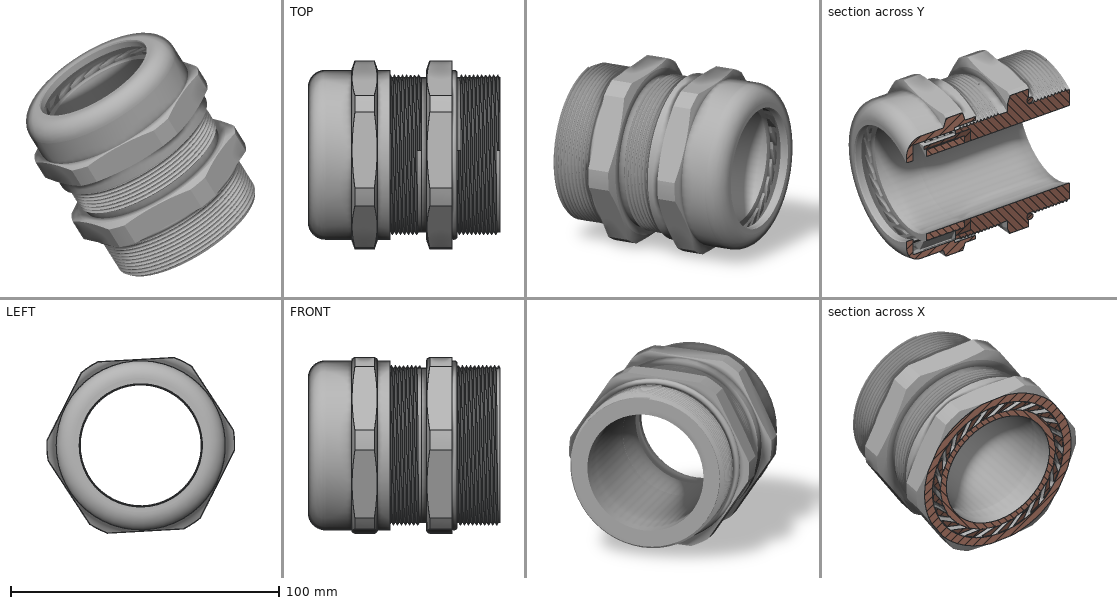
import cadquery as cq
import math

length = 71.55

hex_flats = 64.0
hex_corner_dia = 70.05
corner_turn = 3.2
hex_chamfer = 1.2

nut_length = 30.5
nut_dia = 63.0
nut_round = 6.5
nut_hex_start = 16.2
nut_hex_end = 25.8
opening_dia = 45.9
lip_dia = 45.5
lip_bevel = 0.6
lip_thickness = 3.0
cavity_dia = 57.45
cavity_end = 21.1
thread_clearance = 0.3

root_dia = 57.6
crest_dia = 59.4
pitch = 1.5
flank_angle = 30.0
root_overlap = 0.1
front_thread_end = 41.5
front_turns = 12
rear_thread_start = 55.95
rear_turns = 10

body_start = 21.45
neck_start = 42.15
neck_dia = 57.5
body_hex_start = 44.1
body_hex_end = 53.65
body_bore_dia = 45.15

gasket_outer_dia = nut_dia
gasket_inner_dia = 57.9
gasket_end = 55.5

seal_start = 8.65
seal_end = 25.25
seal_bore_dia = 45.1
seal_dia = 50.4
cage_start = 7.6
cage_end = 27.9
cage_head_dia = 57.15
cage_dia = 54.1
finger_count = 24
slot_width = 1.6
slot_slant = 65.0
slot_phase = -8.0


def turned(outline):
    """Solid of revolution about X from (x, radius) points."""
    return cq.Workplane("XY").polyline(outline).close().revolve(360, (0, 0, 0), (1, 0, 0))


def rod(start, end, diameter):
    return cq.Workplane("YZ", origin=(start, 0, 0)).circle(diameter / 2).extrude(end - start)


def tube(start, end, outer_dia, inner_dia):
    return rod(start, end, outer_dia).cut(rod(start, end, inner_dia))


def hexagon(start, end, chamfer_rear):
    """Hexagonal prism with rounded corners and conically chamfered ends."""
    across_corners = hex_flats / math.cos(math.radians(30))
    prism = (
        cq.Workplane("YZ", origin=(start, 0, 0))
        .polygon(6, across_corners)
        .extrude(end - start)
        .rotate((0, 0, 0), (1, 0, 0), -corner_turn)
    )
    corner_r = hex_corner_dia / 2
    face_r = nut_dia / 2
    outline = [(start, 0), (start, face_r), (start + hex_chamfer, corner_r)]
    if chamfer_rear:
        outline += [(end - hex_chamfer, corner_r), (end, face_r), (end, 0)]
    else:
        outline += [(end, corner_r), (end, 0)]
    return prism.intersect(turned(outline))


def thread_ridge(start, turns):
    """Right-handed helical ridge whose crest starts at x = start near the +Z side."""
    inner_r = root_dia / 2 - root_overlap
    crest_r = crest_dia / 2
    half_base = (crest_r - inner_r) * math.tan(math.radians(flank_angle))
    path = cq.Wire.makeHelix(pitch, pitch * turns, inner_r)
    ridge = (
        cq.Workplane("XZ")
        .polyline([(inner_r, -half_base), (crest_r, 0), (inner_r, half_base)])
        .close()
        .sweep(cq.Workplane(path), isFrenet=True)
    )
    axis_along_x = ridge.rotate((0, 0, 0), (0, 1, 0), 90).rotate((0, 0, 0), (1, 0, 0), 180 - corner_turn)
    return axis_along_x.translate((start, 0, 0))


def gasket_ring():
    section_r = (gasket_outer_dia - gasket_inner_dia) / 4
    ring_r = (gasket_outer_dia + gasket_inner_dia) / 4
    return (
        cq.Workplane("XY")
        .center(gasket_end - section_r, ring_r)
        .circle(section_r)
        .revolve(360, (0, -ring_r, 0), (1, -ring_r, 0))
    )


def dome_nut():
    shell = rod(0, nut_length, nut_dia).faces("<X").edges().fillet(nut_round)
    shell = shell.union(hexagon(nut_hex_start, nut_hex_end, True))
    lip_r = lip_dia / 2
    cavity_r = cavity_dia / 2
    thread_r = (crest_dia + thread_clearance) / 2
    hollow = turned([
        (0, 0),
        (0, opening_dia / 2),
        (lip_bevel, lip_r),
        (lip_thickness, lip_r),
        (lip_thickness, cavity_r),
        (cavity_end, cavity_r),
        (cavity_end, thread_r),
        (nut_length, thread_r),
        (nut_length, 0),
    ])
    return shell.cut(hollow)


def gland_body(gasket):
    shank = (
        rod(body_start, neck_start, root_dia)
        .union(rod(neck_start, body_hex_start, neck_dia))
        .union(hexagon(body_hex_start, body_hex_end, False))
        .union(rod(body_hex_end, length, root_dia))
    )
    bored = (
        shank.cut(rod(body_start, cage_end, cage_dia))
        .cut(rod(cage_end, length, body_bore_dia))
        .cut(gasket)
    )
    front_thread_start = front_thread_end - front_turns * pitch
    return (
        bored.union(thread_ridge(front_thread_start, front_turns))
        .union(thread_ridge(rear_thread_start, rear_turns))
    )


def finger_cage():
    """Sleeve with a floor behind the seal and a wider head, slit into slanted fingers."""
    head = tube(cage_start, body_start, cage_head_dia, seal_dia)
    sleeve = tube(body_start, seal_end, cage_dia, seal_dia)
    floor = tube(seal_end, cage_end, cage_dia, body_bore_dia)
    cage = head.union(sleeve).union(floor)
    inner_r = seal_dia / 2
    wall = (cage_head_dia - seal_dia) / 2
    slot_reach = 2 * wall / math.cos(math.radians(slot_slant))
    slot = (
        cq.Workplane("YZ", origin=(cage_start, 0, 0))
        .rect(slot_reach, slot_width)
        .extrude(body_start - cage_start)
        .rotate((0, 0, 0), (1, 0, 0), slot_slant)
        .translate((0, inner_r, 0))
    )
    for i in range(finger_count):
        turn = slot_phase + i * 360 / finger_count
        cage = cage.cut(slot.rotate((0, 0, 0), (1, 0, 0), turn))
    return cage


nut = dome_nut()
gasket = gasket_ring()
body = gland_body(gasket)
cage = finger_cage()
seal = tube(seal_start, seal_end, seal_dia, seal_bore_dia)

result = cq.Compound.makeCompound([
    nut.solids().val(),
    body.solids().val(),
    cage.solids().val(),
    seal.solids().val(),
    gasket.val(),
])